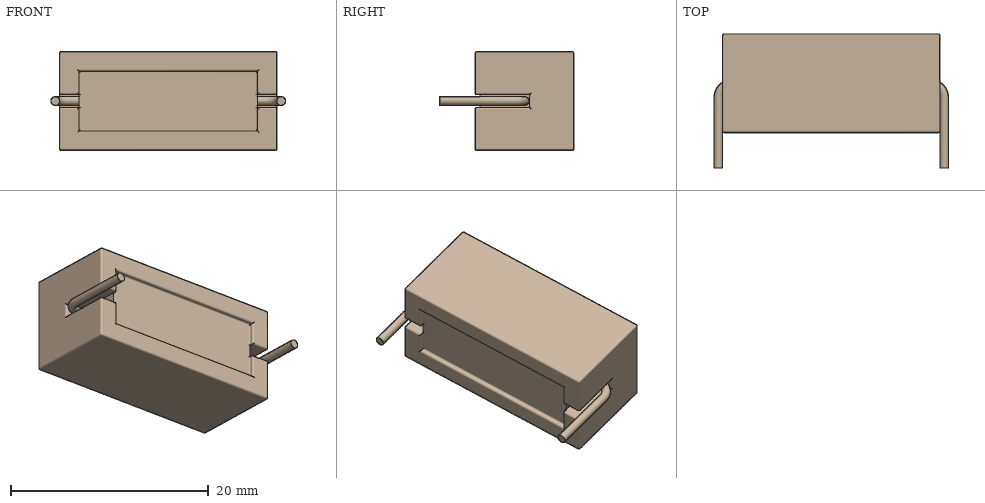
import cadquery as cq

overall_length = 23.75
block_side = 10.0
lead_protrusion = 3.59

wire_diameter = 0.9
wire_bend_radius = 1.5
wire_radius = wire_diameter / 2
lead_x = overall_length / 2 - wire_radius
wire_y = block_side / 2

block_length = 22.0
edge_fillet = 0.2

pocket_length = 18.0
pocket_height = 6.0
pocket_depth = 0.5
pocket_floor_fillet = 0.12

slot_height = 1.28
slot_depth = 5.51
slot_length = (block_length - pocket_length) / 2


def make_wire():
    """One continuous round wire with two bent leads."""
    straight_half = lead_x - wire_bend_radius
    bend_start_y = wire_y - wire_bend_radius
    bend_offset = wire_bend_radius * 0.5 ** 0.5
    bend_mid_x = straight_half + bend_offset
    bend_mid_y = bend_start_y + bend_offset
    path = (
        cq.Workplane("XY")
        .moveTo(-lead_x, -lead_protrusion)
        .lineTo(-lead_x, bend_start_y)
        .threePointArc((-bend_mid_x, bend_mid_y), (-straight_half, wire_y))
        .lineTo(straight_half, wire_y)
        .threePointArc((bend_mid_x, bend_mid_y), (lead_x, bend_start_y))
        .lineTo(lead_x, -lead_protrusion)
    )
    section = cq.Workplane("XZ", origin=(-lead_x, -lead_protrusion, 0)).circle(wire_radius)
    return section.sweep(path)


def make_pocket():
    """Pocket volume, rounded where its walls meet its floor."""
    pocket = cq.Workplane("XY").box(
        pocket_length, pocket_depth, pocket_height, centered=(True, False, True)
    )
    return pocket.faces(">Y").edges().fillet(pocket_floor_fillet)


def make_slot(side):
    """Slot volume between the pocket wall and the end face on the given side (-1 or 1)."""
    slot_centre_x = side * (block_length - slot_length) / 2
    return (
        cq.Workplane("XY")
        .box(slot_length, slot_depth, slot_height, centered=(True, False, True))
        .translate((slot_centre_x, 0, 0))
    )


def make_floor_strip():
    """Strip between the two slots where the pocket floor runs flat up to the pocket ends."""
    return cq.Workplane("XY").box(
        pocket_length, pocket_depth, slot_height, centered=(True, False, True)
    )


def make_block(wire):
    """Block with pocket and slots, all outer edges rounded, bored for the wire."""
    block = cq.Workplane("XY").box(
        block_length, block_side, block_side, centered=(True, False, True)
    )
    block = block.cut(make_pocket()).cut(make_floor_strip())
    for side in (-1, 1):
        block = block.cut(make_slot(side))
    outer_faces = "<X or >X or <Y or >Y or <Z or >Z"
    block = block.faces(outer_faces).edges().fillet(edge_fillet)
    return block.cut(wire).solids()


wire = make_wire()
block = make_block(wire)

result = cq.Compound.makeCompound([block.val(), wire.val()])